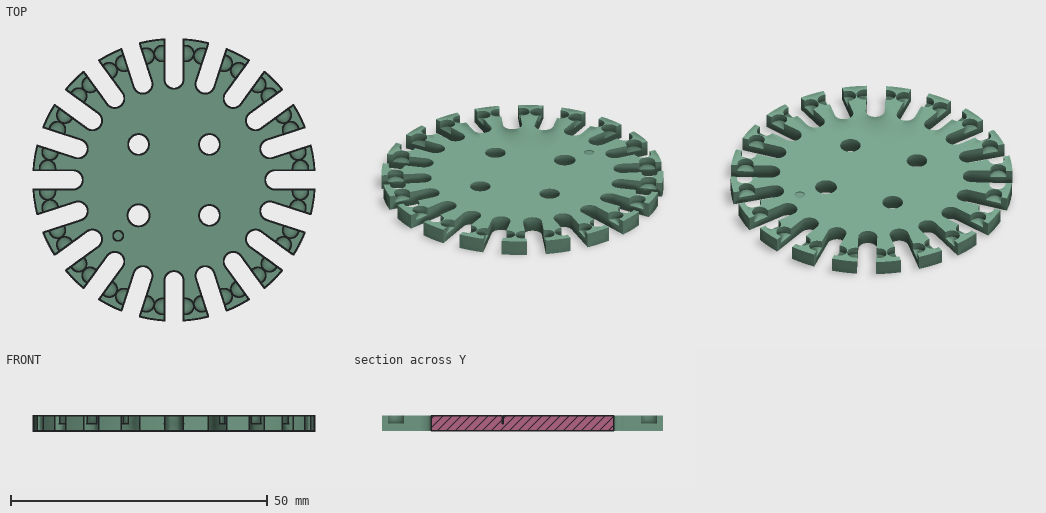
import cadquery as cq
import math

disc_radius = 27.5
thickness = 3.0

slot_count = 20
slot_pitch = 360 / slot_count
slot_width = 3.7
slot_end_radius = slot_width / 2
slot_floor_radius = 17.8

pocket_width = 3.1
pocket_reach = 2.0
pocket_length = slot_width + 2 * pocket_reach
pocket_depth = 1.55
pocket_radial_position = 24.65

hole_spacing = 13.82
hole_diameter = 4.0
large_hole_diameter = 4.25

mark_radius_from_center = 15.4
mark_angle = 225
mark_diameter = 2.0
mark_depth = 0.2


def vertical_cylinder(diameter, x, y, bottom, top):
    """Cylinder along Z between two heights."""
    return (
        cq.Workplane("XY", origin=(x, y, bottom))
        .circle(diameter / 2)
        .extrude(top - bottom)
    )


def slot_with_pocket():
    """Cutter for the slot that opens toward +X, together with its crossing pocket."""
    arc_center = slot_floor_radius + slot_end_radius
    open_end = disc_radius + slot_width
    cutter = (
        cq.Workplane("XY")
        .moveTo(open_end, -slot_end_radius)
        .lineTo(arc_center, -slot_end_radius)
        .threePointArc((slot_floor_radius, 0), (arc_center, slot_end_radius))
        .lineTo(open_end, slot_end_radius)
        .close()
        .extrude(thickness)
    )
    pocket = (
        cq.Workplane("XY", origin=(pocket_radial_position, 0, thickness - pocket_depth))
        .slot2D(pocket_length, pocket_width, 90)
        .extrude(pocket_depth)
    )
    return cutter.union(pocket)


def cut_slots(body):
    cutter = slot_with_pocket()
    for index in range(slot_count):
        body = body.cut(cutter.rotate((0, 0, 0), (0, 0, 1), index * slot_pitch))
    return body


def cut_holes(body):
    for x_side in (-1, 1):
        for y_side in (-1, 1):
            is_large = x_side < 0 and y_side < 0
            diameter = large_hole_diameter if is_large else hole_diameter
            x = x_side * hole_spacing / 2
            y = y_side * hole_spacing / 2
            body = body.cut(vertical_cylinder(diameter, x, y, 0, thickness))
    return body


def cut_mark(body):
    x = mark_radius_from_center * math.cos(math.radians(mark_angle))
    y = mark_radius_from_center * math.sin(math.radians(mark_angle))
    return body.cut(vertical_cylinder(mark_diameter, x, y, thickness - mark_depth, thickness))


disc = vertical_cylinder(2 * disc_radius, 0, 0, 0, thickness)
result = cut_mark(cut_holes(cut_slots(disc)))